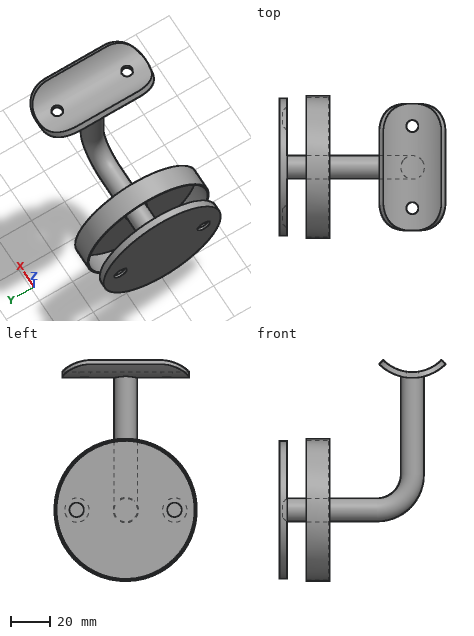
import cadquery as cq
import math

plate_diameter = 70.5
plate_thickness = 4.0
plate_hole_diameter = 7.4
plate_hole_spacing = 50.0
countersink_diameter = 12.5
countersink_angle = 90

rod_diameter = 12.0
bend_radius = 18.0
upright_x = 68.0

saddle_outer_radius = 24.1
saddle_thickness = 3.1
saddle_inner_radius = saddle_outer_radius - saddle_thickness
saddle_half_angle = 45
saddle_length = 65.0
saddle_corner_radius = 15.0
saddle_hole_diameter = 6.0
saddle_hole_spacing = 42.0

cover_diameter = 73.0
cover_bore_diameter = 71.4
cover_rod_hole_diameter = 12.9
cover_x = 13.7
cover_depth = 12.1
cover_wall = (cover_diameter - cover_bore_diameter) / 2

overall_height = 113.2
saddle_top_z = overall_height - cover_diameter / 2
saddle_axis_z = saddle_top_z + saddle_inner_radius * math.cos(math.radians(saddle_half_angle))
saddle_middle_radius = saddle_outer_radius - saddle_thickness / 2
rod_top_z = saddle_axis_z - saddle_middle_radius


def disc(x_start, diameter, thickness):
    """Solid disc on the X axis, growing towards +X."""
    return cq.Workplane("YZ", origin=(x_start, 0, 0)).circle(diameter / 2).extrude(thickness)


def make_plate():
    """Plate with two screw holes, countersunk on the face towards the cover."""
    return (
        disc(0, plate_diameter, plate_thickness)
        .faces(">X")
        .workplane(origin=(0, 0, 0))
        .rarray(plate_hole_spacing, 1.1, 2, 1)
        .cskHole(plate_hole_diameter, countersink_diameter, countersink_angle)
    )


def make_rod():
    path = (
        cq.Workplane("XZ")
        .moveTo(plate_thickness, 0)
        .lineTo(upright_x - bend_radius, 0)
        .tangentArcPoint((upright_x, bend_radius), relative=False)
        .lineTo(upright_x, rod_top_z)
    )
    profile = cq.Workplane("YZ", origin=(plate_thickness, 0, 0)).circle(rod_diameter / 2)
    return profile.sweep(path)


def rounded_quarter_block(side):
    """Block whose outer face is one radial end of the trough, with that face's two corners rounded.

    The block lies below the saddle axis with its outer face vertical, then tilts into place.
    side is +1 for the end towards +X and -1 for the end towards -X.
    """
    block = (
        cq.Workplane("XY")
        .rect(2 * saddle_outer_radius, saddle_length)
        .extrude(-saddle_outer_radius)
        .edges("|Z")
        .fillet(saddle_corner_radius)
        .translate((-side * saddle_outer_radius, 0, 0))
    )
    return block.rotate((0, 0, 0), (0, 1, 0), -side * saddle_half_angle)


def make_saddle():
    tube = (
        cq.Workplane("XZ")
        .circle(saddle_outer_radius)
        .circle(saddle_inner_radius)
        .extrude(saddle_length / 2, both=True)
    )
    trough = tube.intersect(rounded_quarter_block(1)).intersect(rounded_quarter_block(-1))
    placed = trough.translate((upright_x, 0, saddle_axis_z))
    holes = (
        cq.Workplane("XY", origin=(upright_x, 0, saddle_axis_z))
        .rarray(1.1, saddle_hole_spacing, 1, 2)
        .circle(saddle_hole_diameter / 2)
        .extrude(-saddle_outer_radius)
    )
    return placed.cut(holes)


def make_bracket():
    return make_plate().union(make_rod()).union(make_saddle())


def make_cover():
    cavity = disc(cover_x, cover_bore_diameter, cover_depth - cover_wall)
    rod_hole = disc(cover_x, cover_rod_hole_diameter, cover_depth)
    return disc(cover_x, cover_diameter, cover_depth).cut(cavity).cut(rod_hole)


bracket = make_bracket()
cover = make_cover()
result = cq.Compound.makeCompound([bracket.solids().val(), cover.solids().val()])